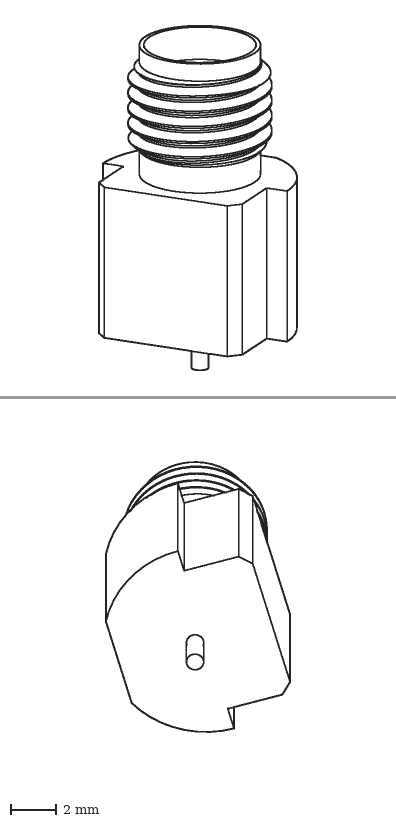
import cadquery as cq
import math

body_width = 7.0
body_height = 7.0
body_chamfer = 0.5
flange_radius = 4.5
flange_center_y = -0.5

pin_diameter = 0.76
pin_length = 2.0

barrel_diameter = 5.35
barrel_length = 6.0
bore_diameter = 4.95
bore_depth = 1.5
contact_hole_diameter = 1.27
contact_hole_depth = 1.5

thread_diameter = 6.35
thread_pitch = 25.4 / 36
thread_length = 4.0
thread_start = body_height + 1.2
thread_root_diameter = 5.45
flank_half_angle = math.radians(30)
crest_flat = thread_pitch / 8
groove_phase = -1.02
extra_turns = 2
groove_overshoot = 0.03
seam_angle = 135


def make_body():
    half = body_width / 2
    flange_half_chord = math.sqrt(flange_radius**2 - (half - flange_center_y) ** 2)
    arc_mid = flange_radius * math.sqrt(0.5)
    mid_y = flange_center_y + arc_mid
    outline = (
        cq.Workplane("XY")
        .moveTo(half - body_chamfer, -half)
        .lineTo(half, -half + body_chamfer)
        .lineTo(half, flange_center_y)
        .lineTo(flange_radius, flange_center_y)
        .threePointArc((arc_mid, mid_y), (flange_half_chord, half))
        .lineTo(-flange_half_chord, half)
        .threePointArc((-arc_mid, mid_y), (-flange_radius, flange_center_y))
        .lineTo(-half, flange_center_y)
        .lineTo(-half, -half + body_chamfer)
        .lineTo(-half + body_chamfer, -half)
        .close()
    )
    return outline.extrude(body_height)


def cylinder(diameter, bottom, height):
    return cq.Workplane("XY").workplane(offset=bottom).circle(diameter / 2).extrude(height)


def make_thread():
    end_chamfer = (thread_diameter - barrel_diameter) / 2
    blank = cylinder(thread_diameter, thread_start, thread_length).edges().chamfer(end_chamfer)
    blank = blank.rotate((0, 0, 0), (0, 0, 1), seam_angle)

    cutter_radius = thread_diameter / 2 + groove_overshoot
    root_radius = thread_root_diameter / 2
    half_mouth = (thread_pitch - crest_flat) / 2
    crest_depth = thread_diameter / 2 - root_radius
    half_outer = half_mouth + groove_overshoot * math.tan(flank_half_angle)
    half_root = half_mouth - crest_depth * math.tan(flank_half_angle)
    turns = math.ceil(thread_length / thread_pitch) + extra_turns
    profile = cq.Workplane("XZ").polyline(
        [
            (root_radius, -half_root),
            (cutter_radius, -half_outer),
            (cutter_radius, half_outer),
            (root_radius, half_root),
        ]
    ).close()
    helix = cq.Workplane(cq.Wire.makeHelix(thread_pitch, turns * thread_pitch, root_radius))
    groove = profile.sweep(helix, isFrenet=True)
    return blank.cut(groove.translate((0, 0, thread_start + groove_phase)))


def make_part():
    barrel_top = body_height + barrel_length
    bore_floor = barrel_top - bore_depth
    part = make_body()
    part = part.union(cylinder(pin_diameter, -pin_length, pin_length))
    part = part.union(cylinder(barrel_diameter, body_height, barrel_length))
    part = part.union(make_thread())
    part = part.cut(cylinder(bore_diameter, bore_floor, bore_depth))
    hole_bottom = bore_floor - contact_hole_depth
    return part.cut(cylinder(contact_hole_diameter, hole_bottom, contact_hole_depth))


result = make_part()